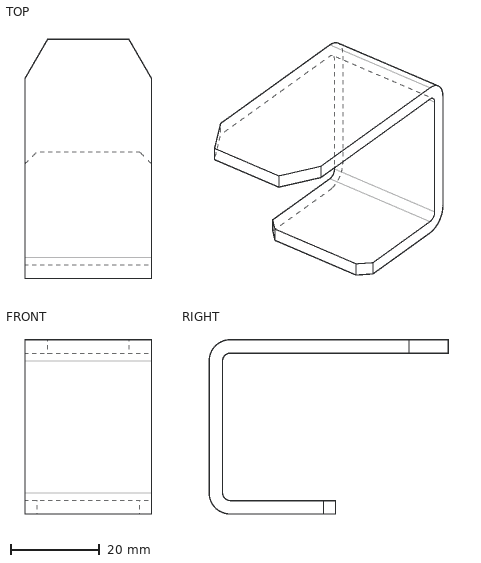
import cadquery as cq
import math

width = 28.55
length = 54.0
height = 39.35

thickness = 3.1
outer_bend_radius = 4.8
inner_bend_radius = outer_bend_radius - thickness
lower_flange_length = 28.55

upper_cut_depth = 8.85
lower_cut_depth = 2.7
upper_cut_angle = 60.0
lower_cut_angle = 45.0

front_y = -length / 2
top_z = height / 2


def block(y_length, z_height, z_bottom, y_start):
    """Full-width block centred on X."""
    return (
        cq.Workplane("XY")
        .box(width, y_length, z_height, centered=(True, False, False))
        .translate((0, y_start, z_bottom))
    )


def bent_strip():
    """C-shaped strip with a long upper flange and a short lower flange."""
    outer = block(length, height, -top_z, front_y).edges("|X and <Y").fillet(outer_bend_radius)
    inner = (
        block(length, height - 2 * thickness, thickness - top_z, front_y + thickness)
        .edges("|X and <Y")
        .fillet(inner_bend_radius)
    )
    lower_excess = block(length, height / 2, -top_z, front_y + lower_flange_length)
    return outer.cut(inner).cut(lower_excess)


def corner_cuts(end_y, depth, angle, z_bottom):
    """Pair of triangular prisms that trim both corners of a flange end."""
    inset = depth / math.tan(math.radians(angle))
    edge_x = width / 2
    right = (
        cq.Workplane("XY", origin=(0, 0, z_bottom))
        .polyline([(edge_x, end_y), (edge_x - inset, end_y), (edge_x, end_y - depth)])
        .close()
        .extrude(thickness)
    )
    return right.union(right.mirror("YZ"))


upper_cuts = corner_cuts(front_y + length, upper_cut_depth, upper_cut_angle, top_z - thickness)
lower_cuts = corner_cuts(front_y + lower_flange_length, lower_cut_depth, lower_cut_angle, -top_z)
result = bent_strip().cut(upper_cuts).cut(lower_cuts)